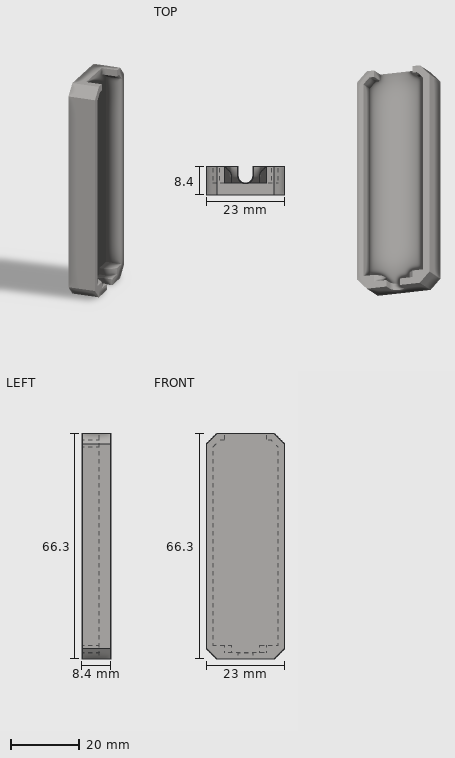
import cadquery as cq
import math

WIDTH = 23.0
DEPTH = 8.4
HEIGHT = 66.3
CORNER_CHAMFER = 3.1

WALL = 2.0
FLOOR_THICKNESS = 3.5

TOP_NOTCH_WIDTH = 12.2

SLOT_WIDTH = 4.3
SLOT_CHAMFER = 0.15

RIB_THICKNESS = 2.0
RIB_NOTCH_WIDTH = 8.2
RIB_NOTCH_MOUTH = TOP_NOTCH_WIDTH
RIB_BLEND_RADIUS = 2.2
FLARE_ANGLE = math.radians(45)

REAR_Y = DEPTH / 2
FLOOR_Y = -DEPTH / 2 + FLOOR_THICKNESS
POCKET_DEPTH = REAR_Y - FLOOR_Y
TOP_Z = HEIGHT / 2
BOTTOM_Z = -HEIGHT / 2
POCKET_BOTTOM_Z = BOTTOM_Z + WALL
RIB_TOP_Z = POCKET_BOTTOM_Z + RIB_THICKNESS


def chamfered_plate(width, depth, height, chamfer, y_start):
    """Plate centred on X and Z, with its four corners chamfered, starting at y_start."""
    plate = cq.Workplane("XY").box(width, depth, height, centered=(True, False, True))
    return plate.edges("|Y").chamfer(chamfer).translate((0, y_start, 0))


def rear_cut_box(width, y_start, z_start, z_end):
    """Box centred on X that runs from y_start out to the rear face."""
    box = cq.Workplane("XY").box(width, REAR_Y - y_start, z_end - z_start, centered=(True, False, False))
    return box.translate((0, y_start, z_start))


def outer_block():
    return chamfered_plate(WIDTH, DEPTH, HEIGHT, CORNER_CHAMFER, -DEPTH / 2)


def pocket():
    """Inward offset of the outline, so the corner walls are as thick as the others."""
    inner_chamfer = CORNER_CHAMFER - WALL * (2 - math.sqrt(2))
    return chamfered_plate(WIDTH - 2 * WALL, POCKET_DEPTH, HEIGHT - 2 * WALL, inner_chamfer, FLOOR_Y)


def top_notch():
    return rear_cut_box(TOP_NOTCH_WIDTH, FLOOR_Y, TOP_Z - WALL, TOP_Z)


def slot_outline(workplane, width):
    """U outline with its round end centred on the workplane origin, open past the rear face."""
    radius = width / 2
    return (
        workplane.moveTo(radius, POCKET_DEPTH)
        .lineTo(radius, 0)
        .threePointArc((0, -radius), (-radius, 0))
        .lineTo(-radius, POCKET_DEPTH)
        .close()
    )


def bottom_slot():
    """Slot whose round end meets the pocket floor, with its chamfer on the inside of the wall."""
    centre_y = FLOOR_Y + SLOT_WIDTH / 2
    slot = slot_outline(cq.Workplane("XY", origin=(0, centre_y, BOTTOM_Z)), SLOT_WIDTH).extrude(WALL)
    chamfer_base = cq.Workplane("XY", origin=(0, centre_y, POCKET_BOTTOM_Z - SLOT_CHAMFER))
    narrow_end = slot_outline(chamfer_base, SLOT_WIDTH)
    wide_end = slot_outline(narrow_end.workplane(offset=SLOT_CHAMFER), SLOT_WIDTH + 2 * SLOT_CHAMFER)
    return slot.union(wide_end.loft(ruled=True))


def rib_notch():
    """Straight sides that curve outward into a flare, widest at the rear face."""
    half_notch = RIB_NOTCH_WIDTH / 2
    half_mouth = RIB_NOTCH_MOUTH / 2
    arc_end_x = half_notch + RIB_BLEND_RADIUS * (1 - math.cos(FLARE_ANGLE))
    arc_end_y = REAR_Y - (half_mouth - arc_end_x) / math.tan(FLARE_ANGLE)
    arc_start_y = arc_end_y - RIB_BLEND_RADIUS * math.sin(FLARE_ANGLE)
    arc_mid_x = half_notch + RIB_BLEND_RADIUS * (1 - math.cos(FLARE_ANGLE / 2))
    arc_mid_y = arc_start_y + RIB_BLEND_RADIUS * math.sin(FLARE_ANGLE / 2)
    profile = (
        cq.Workplane("XY", origin=(0, 0, POCKET_BOTTOM_Z))
        .moveTo(-half_notch, FLOOR_Y)
        .lineTo(half_notch, FLOOR_Y)
        .lineTo(half_notch, arc_start_y)
        .threePointArc((arc_mid_x, arc_mid_y), (arc_end_x, arc_end_y))
        .lineTo(half_mouth, REAR_Y)
        .lineTo(-half_mouth, REAR_Y)
        .lineTo(-arc_end_x, arc_end_y)
        .threePointArc((-arc_mid_x, arc_mid_y), (-half_notch, arc_start_y))
        .close()
    )
    return profile.extrude(RIB_THICKNESS)


def pocket_above_rib():
    rib_space = rear_cut_box(WIDTH, FLOOR_Y, POCKET_BOTTOM_Z, RIB_TOP_Z)
    return pocket().cut(rib_space)


result = (
    outer_block()
    .cut(pocket_above_rib())
    .cut(top_notch())
    .cut(rib_notch())
    .cut(bottom_slot())
)